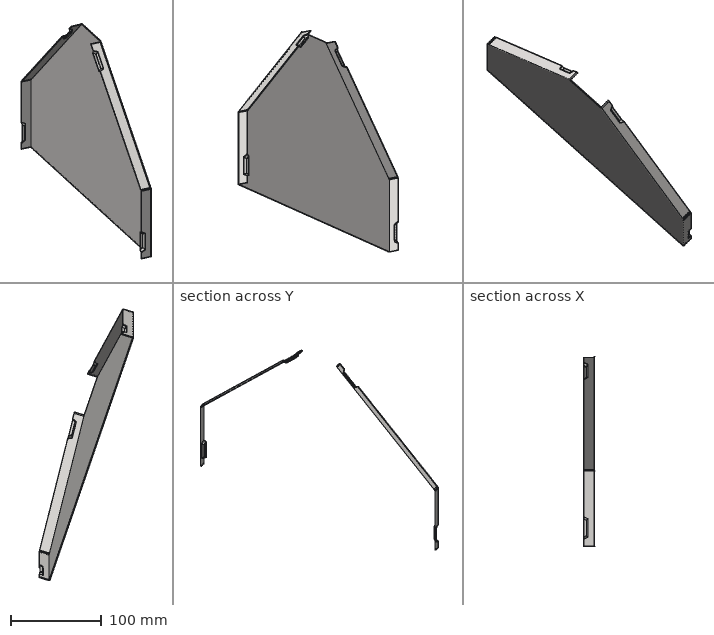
import cadquery as cq
import math

width = 300.0
depth = 12.5
height = 209.7
top_width = 48.0
sheet = 1.2
bend_radius = 1.0
seam_gap = 1.0
end_clearance = 1.0

dent_edge_length = 25.2
dent_back_length = 20.5
dent_reach = 4.8
dent_inset = 3.0
dent_wall_run = 1.8
side_dent_height = 20.5
slope_dent_offset = 39.0

half_width = width / 2
half_top = top_width / 2
shoulder_height = height - (half_width - half_top)
front_y = -depth / 2
back_y = depth / 2


def cover_blank(inset, top, y_start, y_end):
    """Prism of the cover outline with its side and slope faces moved inward by inset."""
    side = half_width - inset
    shoulder = shoulder_height - inset * math.tan(math.pi / 8)
    top_half = side - (top - shoulder)
    points = [(-side, 0), (side, 0), (side, shoulder), (top_half, top), (-top_half, top), (-side, shoulder)]
    plane = cq.Plane(origin=(0, y_start, 0), xDir=(1, 0, 0), normal=(0, -1, 0))
    return cq.Workplane(plane).polyline(points).close().extrude(y_start - y_end)


def dent_profile(shrink):
    """Corners of the dent outline; the second coordinate runs toward the free edge."""
    edge = dent_edge_length / 2 - shrink
    back = dent_back_length / 2 - shrink
    reach = dent_reach - shrink
    return [(-edge, 0), (-back, -reach), (back, -reach), (edge, 0)]


def dent_form(origin, along, inward, shift):
    """Tapered dent starting at the given distance inside the flange's outer face."""
    plane = cq.Plane(origin=origin, xDir=along, normal=inward)
    base = cq.Workplane(plane).workplane(offset=shift)
    mouth = base.polyline(dent_profile(0)).close()
    floor = mouth.workplane(offset=dent_inset).polyline(dent_profile(dent_wall_run)).close()
    return floor.loft(ruled=True, combine=True)


plate = cover_blank(0, height, back_y, back_y - sheet)
flanges = cover_blank(0, height - end_clearance, back_y, front_y)
flanges = flanges.cut(cover_blank(sheet, height, back_y, front_y))
result = plate.union(flanges)

result = result.faces(">Y").edges("not |X").fillet(bend_radius)

flange_reach = depth - sheet
seams = cq.Workplane("XY").box(width, flange_reach, seam_gap, centered=(True, False, False))
result = result.cut(seams.translate((0, front_y, shoulder_height)))

slope_dent_height = height - (slope_dent_offset - half_top)
diagonal = math.sqrt(0.5)
for hand in (-1, 1):
    side_dent = (
        (hand * half_width, front_y, side_dent_height),
        (0, 0, -hand),
        (-hand, 0, 0),
    )
    slope_dent = (
        (hand * slope_dent_offset, front_y, slope_dent_height),
        (diagonal, 0, -hand * diagonal),
        (-hand * diagonal, 0, -diagonal),
    )
    for placement in (side_dent, slope_dent):
        result = result.union(dent_form(*placement, sheet))
        result = result.cut(dent_form(*placement, 0))